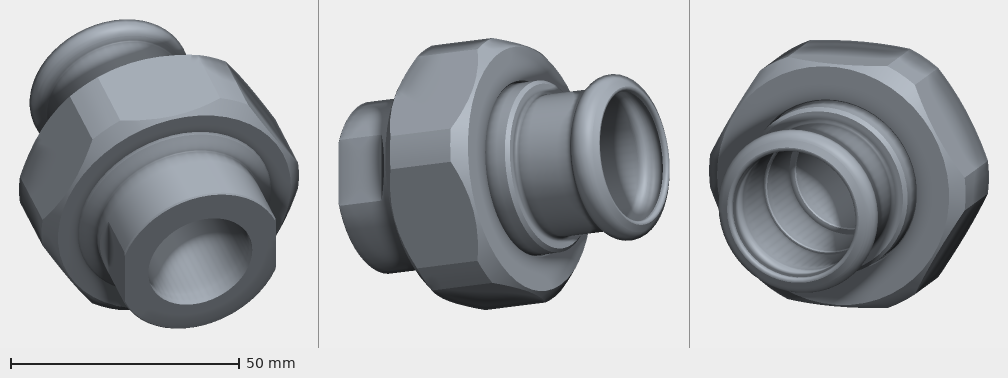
import cadquery as cq
import math


total_length = 65.0
joint_x = 36.0
edge_break = 0.25

nut_start = 26.5
nut_length = 21.0
nut_end = nut_start + nut_length
nut_across_flats = 55.0
nut_corner_radius = 59.67 / 2
nut_face_radius = 54.0 / 2
nut_chamfer = nut_corner_radius - nut_face_radius
nut_lip = 4.0
nut_shoulder_x = nut_start + nut_lip
nut_lip_bore = 38.5
nut_bore = 44.84

tube_outer_radius = 31.4 / 2
tube_bore_radius = 28.4 / 2
wall = tube_outer_radius - tube_bore_radius
mouth_radius = 28.7 / 2
mouth_lip_round = 0.8

bead_peak_radius = 36.75 / 2
bead_x = 3.6
bead_round = 3.15
bead_inner_round = bead_round - wall
bead_angle = math.radians(60)
bead_root_fillet = 0.5

collar_start = 21.0
collar_radius = 38.0 / 2
collar_chamfer = 0.8
collar_root_fillet = 0.8
tail_outlet_radius = 27.0 / 2

female_radius = 38.0 / 2
female_bore_radius = 24.12 / 2
shoulder_radius = 44.0 / 2
shoulder_chamfer = nut_bore / 2 - shoulder_radius
shoulder_cone_angle = math.radians(55)
shoulder_root_fillet = 0.5
end_chamfer = 0.3
flats_width = 35.0
flats_length = 11.0


def revolve_about_x(profile):
    """Turn a closed (x, radius) profile around the X axis."""
    return profile.close().revolve(360, (0, 0, 0), (1, 0, 0))


def fillet_points(corner_x, radius, fillet, slope):
    """Start, middle and end of a fillet from a falling flank into a cylinder."""
    tangent = fillet * math.tan(slope / 2)
    centre_x = corner_x + tangent
    centre_r = radius + fillet
    return [
        (centre_x - fillet * math.sin(a), centre_r - fillet * math.cos(a))
        for a in (slope, slope / 2, 0)
    ]


def make_nut():
    hexagon = (
        cq.Workplane("YZ", origin=(nut_start, 0, 0))
        .polygon(6, nut_across_flats / math.cos(math.pi / 6))
        .extrude(nut_length)
    )
    turned_blank = revolve_about_x(
        cq.Workplane("XY")
        .moveTo(nut_start, 0)
        .lineTo(nut_start, nut_face_radius)
        .lineTo(nut_start + nut_chamfer, nut_corner_radius)
        .lineTo(nut_end - nut_chamfer, nut_corner_radius)
        .lineTo(nut_end, nut_face_radius)
        .lineTo(nut_end, 0)
    )
    lip_hole = cq.Workplane("YZ", origin=(nut_start, 0, 0)).circle(nut_lip_bore / 2).extrude(nut_lip)
    main_bore = (
        cq.Workplane("YZ", origin=(nut_shoulder_x, 0, 0))
        .circle(nut_bore / 2)
        .extrude(nut_end - nut_shoulder_x)
    )
    lip_edge = revolve_about_x(
        cq.Workplane("XY")
        .moveTo(nut_start, 0)
        .lineTo(nut_start, nut_lip_bore / 2 + edge_break)
        .lineTo(nut_start + edge_break, nut_lip_bore / 2)
        .lineTo(nut_start + edge_break, 0)
    )
    return hexagon.intersect(turned_blank).cut(lip_hole).cut(lip_edge).cut(main_bore)


def make_tailpiece():
    bead_centre_r = bead_peak_radius - bead_round
    slope = math.tan(bead_angle)

    def bead_end(arc_radius, side):
        """Point where the bead arc runs out into its straight flank."""
        return (
            bead_x + side * arc_radius * math.sin(bead_angle),
            bead_centre_r + arc_radius * math.cos(bead_angle),
        )

    outer_front = bead_end(bead_round, -1)
    outer_back = bead_end(bead_round, 1)
    inner_front = bead_end(bead_inner_round, -1)
    inner_back = bead_end(bead_inner_round, 1)

    rim_radius = outer_front[1] - outer_front[0] * slope
    mouth_end_x = inner_front[0] - (inner_front[1] - mouth_radius) / slope
    outer_corner_x = outer_back[0] + (outer_back[1] - tube_outer_radius) / slope
    inner_corner_x = inner_back[0] + (inner_back[1] - tube_bore_radius) / slope
    outer_root = fillet_points(outer_corner_x, tube_outer_radius, bead_root_fillet, bead_angle)
    inner_root = fillet_points(inner_corner_x, tube_bore_radius, bead_root_fillet + wall, bead_angle)

    collar_root_mid = collar_root_fillet * math.sqrt(0.5)
    lip_mid = mouth_lip_round * (1 - math.sqrt(0.5))

    return revolve_about_x(
        cq.Workplane("XY")
        .moveTo(0, rim_radius)
        .lineTo(*outer_front)
        .threePointArc((bead_x, bead_peak_radius), outer_back)
        .lineTo(*outer_root[0])
        .threePointArc(outer_root[1], outer_root[2])
        .lineTo(collar_start - collar_root_fillet, tube_outer_radius)
        .threePointArc(
            (
                collar_start - collar_root_fillet + collar_root_mid,
                tube_outer_radius + collar_root_fillet - collar_root_mid,
            ),
            (collar_start, tube_outer_radius + collar_root_fillet),
        )
        .lineTo(collar_start, collar_radius - collar_chamfer)
        .lineTo(collar_start + collar_chamfer, collar_radius)
        .lineTo(nut_shoulder_x, collar_radius)
        .lineTo(nut_shoulder_x, nut_bore / 2)
        .lineTo(joint_x, nut_bore / 2)
        .lineTo(joint_x, tail_outlet_radius)
        .lineTo(collar_start + edge_break, tail_outlet_radius)
        .lineTo(collar_start, tail_outlet_radius + edge_break)
        .lineTo(collar_start, tube_bore_radius)
        .lineTo(*inner_root[2])
        .threePointArc(inner_root[1], inner_root[0])
        .lineTo(*inner_back)
        .threePointArc((bead_x, bead_centre_r + bead_inner_round), inner_front)
        .lineTo(mouth_end_x, mouth_radius)
        .lineTo(mouth_lip_round, mouth_radius)
        .threePointArc((lip_mid, mouth_radius + lip_mid), (0, mouth_radius + mouth_lip_round))
    )


def make_female_end():
    shoulder_x = nut_end + shoulder_chamfer
    cone_end_x = shoulder_x + (shoulder_radius - female_radius) / math.tan(shoulder_cone_angle)
    root = fillet_points(cone_end_x, female_radius, shoulder_root_fillet, shoulder_cone_angle)

    body = revolve_about_x(
        cq.Workplane("XY")
        .moveTo(joint_x + edge_break, female_bore_radius)
        .lineTo(joint_x, female_bore_radius + edge_break)
        .lineTo(joint_x, nut_bore / 2)
        .lineTo(nut_end, nut_bore / 2)
        .lineTo(shoulder_x, shoulder_radius)
        .lineTo(*root[0])
        .threePointArc(root[1], root[2])
        .lineTo(total_length - end_chamfer, female_radius)
        .lineTo(total_length, female_radius - end_chamfer)
        .lineTo(total_length, female_bore_radius)
    )

    flat_y = flats_width / 2
    flat_depth = female_radius - flat_y
    flat_start = total_length - flats_length
    for side in (-1, 1):
        flat_cutter = (
            cq.Workplane("XY")
            .moveTo(total_length, side * flat_y)
            .lineTo(flat_start, side * flat_y)
            .lineTo(flat_start - flat_depth, side * female_radius)
            .lineTo(total_length, side * female_radius)
            .close()
            .extrude(female_radius, both=True)
        )
        body = body.cut(flat_cutter)
    return body


nut = make_nut()
tailpiece = make_tailpiece()
female_end = make_female_end()

result = cq.Compound.makeCompound([nut.val(), tailpiece.val(), female_end.val()])